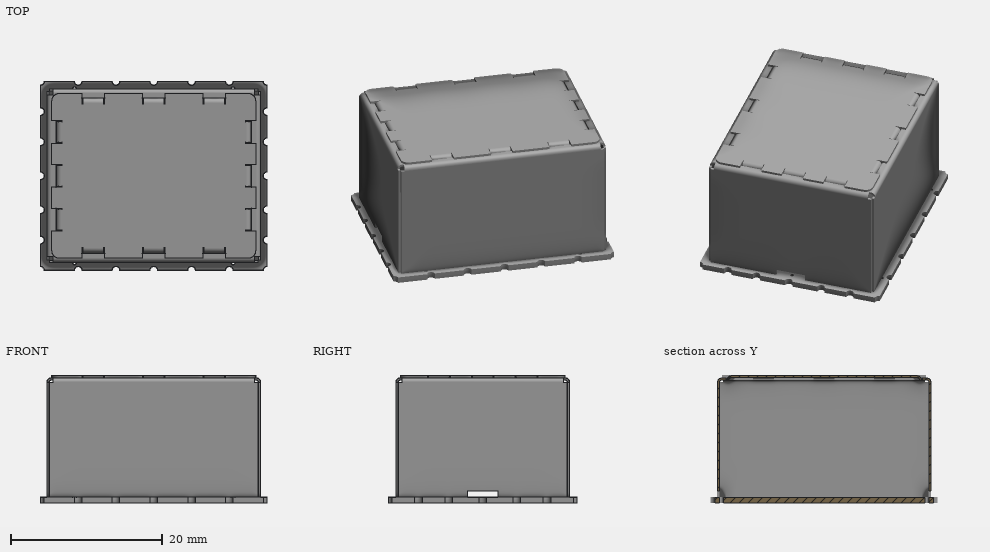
import cadquery as cq

BOARD_LENGTH = 30.0
BOARD_WIDTH = 25.0
BOARD_THICKNESS = 0.8
CASTELLATION_RADIUS = 0.5
CASTELLATION_XS = (-10.0, -5.0, 0.0, 5.0, 10.0)
CASTELLATION_YS = (-8.5, -4.5, 0.0, 4.5, 8.5)
LOCATING_HOLE_DIAMETER = 0.5
LOCATING_HOLE_X = 10.5
LOCATING_HOLE_Y = 11.5
VIA_DIAMETER = 0.5
VIA_X = 13.6

TOTAL_HEIGHT = 16.91
SHEET = 0.3
BEND_RADIUS = 0.6
COVER_LENGTH = 28.3
COVER_WIDTH = 23.0
WALL_TOP = 16.0
CORNER_NOTCH = 0.33
BEND_RELIEF = 0.8
FLANGE_INSET = 1.2
WINDOW_WIDTH = 4.0
WINDOW_HEIGHT = 0.8

LID_LENGTH = 27.0
LID_WIDTH = 21.8
LID_CORNER_RADIUS = 1.0
TAB_XS = (-8.0, 0.0, 8.0)
TAB_YS = (-5.8, 0.0, 5.8)
TAB_OPENING_WIDTH = 3.0
TAB_SLIT = 0.12
TAB_BEND_RADIUS = 0.65
TAB_CLEARANCE = 0.05

FLANGE_TOP = WALL_TOP + BEND_RADIUS
MOUTH_LENGTH = COVER_LENGTH - 2 * FLANGE_INSET
MOUTH_WIDTH = COVER_WIDTH - 2 * FLANGE_INSET
TAB_WIDTH = TAB_OPENING_WIDTH - 2 * TAB_SLIT
TAB_ROOT_INSET = TAB_CLEARANCE + TAB_BEND_RADIUS


def block(length, width, z_bottom, z_top, x=0.0, y=0.0):
    """Upright box centred on (x, y) between two heights."""
    size = (length, width, z_top - z_bottom)
    return cq.Workplane("XY").box(*size, centered=(True, True, False)).translate((x, y, z_bottom))


def mirrored(points):
    """Every point with its reflections across both centre planes, without repeats."""
    return sorted({(sx * x, sy * y) for x, y in points for sx in (-1, 1) for sy in (-1, 1)})


def board_cutters(places, radius):
    """Round cutters through the board's thickness."""
    return cq.Workplane("XY").pushPoints(places).circle(radius).extrude(BOARD_THICKNESS)


def board():
    """Board with half-round castellations, notched corners and small through holes."""
    half_length = BOARD_LENGTH / 2
    half_width = BOARD_WIDTH / 2
    notches = mirrored(
        [(x, half_width) for x in CASTELLATION_XS]
        + [(half_length, y) for y in CASTELLATION_YS]
        + [(half_length, half_width)]
    )
    plate = block(BOARD_LENGTH, BOARD_WIDTH, 0, BOARD_THICKNESS)
    plate = plate.cut(board_cutters(notches, CASTELLATION_RADIUS))
    locating_holes = mirrored([(LOCATING_HOLE_X, LOCATING_HOLE_Y)])
    plate = plate.cut(board_cutters(locating_holes, LOCATING_HOLE_DIAMETER / 2))
    return plate.cut(board_cutters(mirrored([(VIA_X, 0)]), VIA_DIAMETER / 2))


def cover():
    """Four walls whose tops roll inward into a flange, with open corners and end windows."""
    outside = block(COVER_LENGTH, COVER_WIDTH, BOARD_THICKNESS, FLANGE_TOP)
    outside = outside.faces(">Z").edges().fillet(BEND_RADIUS)
    cavity = block(COVER_LENGTH - 2 * SHEET, COVER_WIDTH - 2 * SHEET, BOARD_THICKNESS, FLANGE_TOP - SHEET)
    cavity = cavity.faces(">Z").edges().fillet(BEND_RADIUS - SHEET)
    mouth = block(MOUTH_LENGTH, MOUTH_WIDTH, BOARD_THICKNESS, FLANGE_TOP)
    window = block(COVER_LENGTH, WINDOW_WIDTH, BOARD_THICKNESS, BOARD_THICKNESS + WINDOW_HEIGHT)
    shell = outside.cut(cavity).cut(mouth).cut(window)
    for x, y in mirrored([(COVER_LENGTH / 2, COVER_WIDTH / 2)]):
        shell = shell.cut(block(2 * CORNER_NOTCH, 2 * CORNER_NOTCH, BOARD_THICKNESS, WALL_TOP, x, y))
        shell = shell.cut(block(2 * BEND_RELIEF, 2 * BEND_RELIEF, WALL_TOP, FLANGE_TOP, x, y))
    return shell


def bent_tab():
    """Tab reaching out along +X from the origin, bent down a quarter turn from the lid's top face."""
    inner_radius = TAB_BEND_RADIUS - SHEET
    return (
        cq.Workplane("XZ")
        .moveTo(-TAB_SLIT, 0).lineTo(0, 0)
        .radiusArc((TAB_BEND_RADIUS, -TAB_BEND_RADIUS), TAB_BEND_RADIUS)
        .lineTo(inner_radius, -TAB_BEND_RADIUS)
        .radiusArc((0, -SHEET), -inner_radius)
        .lineTo(-TAB_SLIT, -SHEET)
        .close()
        .extrude(TAB_WIDTH / 2, both=True)
    )


def lid():
    """Round-cornered plate with edge openings, each holding a bent-down tab."""
    plate = block(LID_LENGTH, LID_WIDTH, FLANGE_TOP, TOTAL_HEIGHT).edges("|Z").fillet(LID_CORNER_RADIUS)
    sides = (
        (0, LID_LENGTH / 2, MOUTH_LENGTH / 2, TAB_YS),
        (90, LID_WIDTH / 2, MOUTH_WIDTH / 2, TAB_XS),
        (180, LID_LENGTH / 2, MOUTH_LENGTH / 2, TAB_YS),
        (270, LID_WIDTH / 2, MOUTH_WIDTH / 2, TAB_XS),
    )
    tab = bent_tab()
    for angle, edge, mouth_edge, offsets in sides:
        tab_root = mouth_edge - TAB_ROOT_INSET
        opening_end = tab_root - TAB_SLIT
        opening = block(
            edge - opening_end, TAB_OPENING_WIDTH, FLANGE_TOP, TOTAL_HEIGHT, (edge + opening_end) / 2
        )
        for offset in offsets:
            opening_here = opening.translate((0, offset, 0))
            tab_here = tab.translate((tab_root, offset, TOTAL_HEIGHT))
            plate = plate.cut(opening_here.rotate((0, 0, 0), (0, 0, 1), angle))
            plate = plate.union(tab_here.rotate((0, 0, 0), (0, 0, 1), angle))
    return plate


result = board().union(cover()).union(lid())